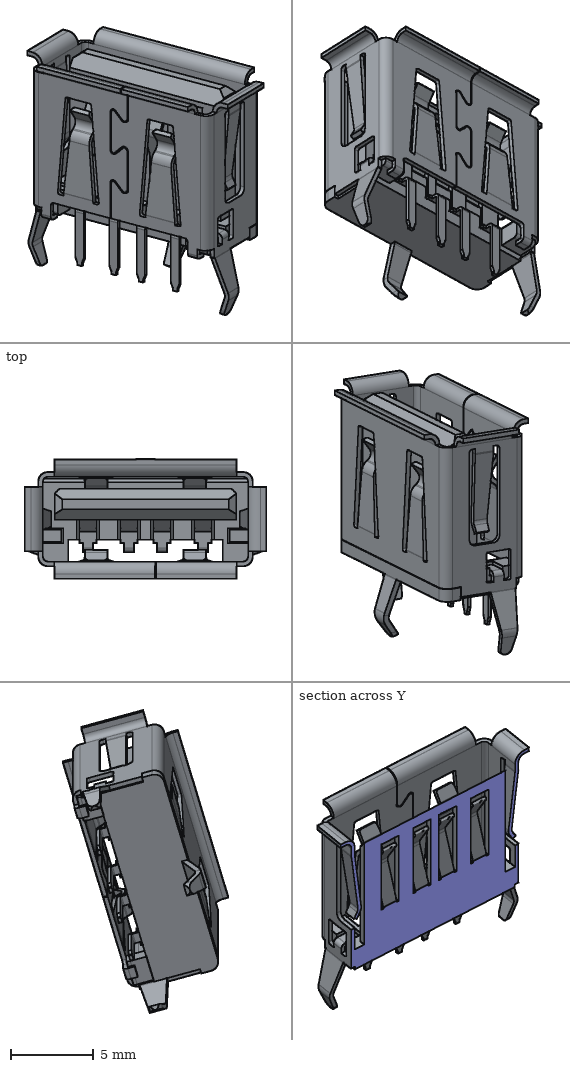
import cadquery as cq
import math



OVERALL_WIDTH = 14.68
SHELL_WIDTH = 13.05
SHELL_DEPTH = 5.74
SHELL_TOP = 9.76
SHEET = 0.3
CORNER_R = 0.6
INNER_WIDTH = SHELL_WIDTH - 2 * SHEET
INNER_DEPTH = SHELL_DEPTH - 2 * SHEET
INNER_CORNER_R = CORNER_R - SHEET

CORNER_BOTTOM = 0.84
SIDE_BOTTOM = 0.2
SIDE_FRONT_Y = -2.23
SIDE_REAR_Y = 1.63
FRONT_NOTCH_HALF = 5.0
FRONT_NOTCH_TOP = 1.35
FRONT_NOTCH_R = 0.22
FOOT_OUTER_X = 5.7
FOOT_BOTTOM = 0.1
FOOT_LENGTH = 0.73
TIGHT_BEND_R = 0.31

LIP_TOP = 10.5
LIP_BEND_R = LIP_TOP - SHELL_TOP - SHEET
LONG_LIP_WIDTH = 11.07
SHORT_LIP_WIDTH = 3.92
LONG_LIP_REACH = 0.76
SHORT_LIP_REACH = (OVERALL_WIDTH - SHELL_WIDTH) / 2

SEAM_HALF = 0.62
SEAM_GAP = 0.06
SEAM_R = 0.22
SEAM_MIDDLE_Z = 5.97
SEAM_PITCH = 2.35

SPRING_X = 3.0
SPRING_ROOT_HALF = 1.09
SPRING_TIP_HALF = 0.66
SPRING_WINDOW_Z = (2.03, 8.59)
SPRING_WINDOW_HALF = (1.51, 0.94)
SPRING_WINDOW_R = 0.15
SPRING_TIP_Z = 7.87
SPRING_TIP_R = 0.19
SPRING_ELBOW_HALF = 0.72
SPRING_ELBOW_Z = 5.75
SPRING_ROOT = (0, 2.2)
SPRING_ELBOW = (0.12, 6.1)
SPRING_BULGE = (0.91, 6.66)
SPRING_END = (0.15, 7.69)
SPRING_BEND_R = (0.59, 0.78, 0.48)

SIDE_WINDOW_HALF = 1.05
SIDE_WINDOW_Z = (3.32, 9.44)
SIDE_WINDOW_TOP_R = 0.2
SIDE_WINDOW_BOTTOM_R = 0.44
SIDE_SPRING_ROOT_HALF = 0.65
SIDE_SPRING_TIP_HALF = 0.43
SIDE_SPRING_ROOT_Z = 9.13
SIDE_SPRING_TIP_Z = 3.61
SIDE_SPRING_KNEE = (0.53, 4.61)
SIDE_SPRING_END = (0.2, 4.05)
SIDE_SPRING_BEND_R = (0.59, 0.44)

LATCH_Y = -1.0
LATCH_WINDOW_HALF = 0.85
LATCH_WINDOW_Z = (0.82, 2.76)
LATCH_WINDOW_R = 0.15
LATCH_HALF = 0.37
LATCH_TOP = 1.47
LATCH_LENGTH = 1.41
LATCH_POCKET_HALF = 0.45
LATCH_POCKET_LENGTH = 1.23

CLIP_TIP_Z = -3.8
CLIP_ROOT_R = 0.07
SIDE_CLIP_Y = -1.3
SIDE_CLIP_ROOT_HALF = 0.87
SIDE_CLIP_TIP_HALF = 0.4
SIDE_CLIP_KNEE = (-0.85, -2.29)
SIDE_CLIP_END_INSET = -0.26
SIDE_CLIP_BEND_R = 0.73
REAR_CLIP_THICKNESS = 0.37
REAR_CLIP_ROOT_HALF = 0.7
REAR_CLIP_TAPER_HALF = 0.59
REAR_CLIP_TAPER_Z = -2.2
REAR_CLIP_TIP_HALF = 0.4
REAR_CLIP_KNEE = (-0.9, -2.47)
REAR_CLIP_END_INSET = 0.06
REAR_CLIP_BEND_R = 0.85

FLOOR_TOP = 1.63
FLOOR_BACK_Y = 2.47
FLOOR_FRONT_Y = -1.26
FLOOR_BACK_CHAMFER = 0.23
ARM_INNER_X = 4.68
ARM_EDGE_R = 0.25
FLANGE_FRONT_Y = 1.66
FLANGE_TOP = 0.81
TONGUE_HALF = 5.52
TONGUE_FRONT_Y = -0.05
TONGUE_BACK_Y = 1.85
TONGUE_BACK_CHAMFER = 0.3
TONGUE_FRONT_SHOULDER_Z = 9.15
TONGUE_BACK_SHOULDER_Z = 9.32
TONGUE_SIDE_SHOULDER_Z = 9.65
TONGUE_TOP = 10.04
TONGUE_TOP_HALF = 5.05
TONGUE_TOP_Y = (0.59, 1.2)

OUTER_CONTACT_X = 3.5
INNER_CONTACT_X = 1.0
CONTACT_X = (-OUTER_CONTACT_X, -INNER_CONTACT_X, INNER_CONTACT_X, OUTER_CONTACT_X)
CONTACT_THICKNESS = 0.2
BLADE_WIDTH = 1.04
BLADE_TOP = (0.18, 8.3)
BLADE_BOW = (-0.82, 6.59)
BLADE_BACK_Y = 0.15
BLADE_STRAIGHT_Z = 3.67
BLADE_BEND_R = (0.56, 0.59, 0.07)
BLADE_FRONT_Y = -1.45
PIN_FRONT_Y = -2.01
PIN_WIDTH = 0.62
PIN_TIP_WIDTH = 0.32
PIN_TIP_Z = -2.79
PIN_BEND_R = 0.28
PIN_TAPER_Z = (-2.61, -2.28)
CONTACT_FOOT_TOP = 1.01
GROOVE_HALF = 0.68
GROOVE_BOTTOM = CONTACT_FOOT_TOP - CONTACT_THICKNESS
GROOVE_TOP = 8.81
GROOVE_BACK_Y = 0.38
GROOVE_SHALLOW_BACK_Y = 0.07
GROOVE_STEP_Z = BLADE_STRAIGHT_Z


def block(x_range, y_range, z_range):
    """Box between two limits on each axis."""
    size = [high - low for low, high in (x_range, y_range, z_range)]
    return cq.Workplane("XY").box(*size, centered=False).translate((x_range[0], y_range[0], z_range[0]))


def mirrored_prism(half_outline):
    """Outline given by its +x half as (x, z) points, extruded through a wall both ways along y."""
    outline = half_outline + [(-x, z) for x, z in reversed(half_outline)]
    return cq.Workplane("XZ").polyline(outline).close().extrude(SHELL_DEPTH / 2, both=True)


def unit(start, end):
    """Unit vector from one point towards another."""
    length = math.dist(start, end)
    return ((end[0] - start[0]) / length, (end[1] - start[1]) / length)


def bent_strip(points, bend_radii, width, thickness, side):
    """Sheet strip of constant width in x whose one face follows (y, z) points with rounded bends.

    With side = 1 the material lies towards +y where the path runs up; with -1 where it runs down.
    """
    path = cq.Workplane("YZ").moveTo(*points[0])
    for before, corner, after, radius in zip(points, points[1:], points[2:], bend_radii):
        arriving = unit(before, corner)
        leaving = unit(corner, after)
        turn = math.acos(arriving[0] * leaving[0] + arriving[1] * leaving[1])
        setback = radius * math.tan(turn / 2)
        arc_start = (corner[0] - setback * arriving[0], corner[1] - setback * arriving[1])
        arc_end = (corner[0] + setback * leaving[0], corner[1] + setback * leaving[1])
        inward = unit(arriving, leaving)
        sagitta = radius * (1 / math.cos(turn / 2) - 1)
        arc_middle = (corner[0] + sagitta * inward[0], corner[1] + sagitta * inward[1])
        path = path.lineTo(*arc_start).threePointArc(arc_middle, arc_end)
    path = path.lineTo(*points[-1])
    direction = unit(points[0], points[1])
    section = cq.Plane(origin=(0, *points[0]), xDir=(1, 0, 0), normal=(0, *direction))
    return cq.Workplane(section).center(0, side * thickness / 2).rect(width, thickness).sweep(path)


def on_front(feature):
    return feature.translate((0, -SHELL_DEPTH / 2, 0))


def on_rear(feature):
    return on_front(feature).rotate((0, 0, 0), (0, 0, 1), 180)


def on_left(feature):
    """Left wall: local x runs towards -Y."""
    return feature.translate((0, -SHELL_WIDTH / 2, 0)).rotate((0, 0, 0), (0, 0, 1), -90)


def on_right(feature):
    return on_left(feature).mirror("YZ")


def rounded_box(width, depth, radius, bottom, top):
    """Centred box with rounded vertical edges."""
    box = cq.Workplane("XY").workplane(offset=bottom).rect(width, depth).extrude(top - bottom)
    return box.edges("|Z").fillet(radius)


def shell_walls():
    """Rectangular tube with its lower rim cut to length."""
    tube = rounded_box(SHELL_WIDTH, SHELL_DEPTH, CORNER_R, SIDE_BOTTOM, SHELL_TOP)
    tube = tube.cut(rounded_box(INNER_WIDTH, INNER_DEPTH, INNER_CORNER_R, SIDE_BOTTOM, SHELL_TOP))
    full_width = (-SHELL_WIDTH, SHELL_WIDTH)
    raised = (0, CORNER_BOTTOM)
    tube = tube.cut(block(full_width, (-SHELL_DEPTH, SIDE_FRONT_Y), raised))
    tube = tube.cut(block(full_width, (SIDE_REAR_Y, SHELL_DEPTH), raised))
    notch = block((-FRONT_NOTCH_HALF, FRONT_NOTCH_HALF), (-SHEET, 2 * SHEET), (0, FRONT_NOTCH_TOP))
    return tube.cut(on_front(notch.edges("|Y and >Z").fillet(FRONT_NOTCH_R)))


def feet():
    """Pair of tabs at the ends of the front wall, folded under the housing arms."""
    path = [(0, CORNER_BOTTOM + SHEET), (0, FOOT_BOTTOM), (FOOT_LENGTH, FOOT_BOTTOM)]
    foot = bent_strip(path, [TIGHT_BEND_R], FOOT_OUTER_X - FRONT_NOTCH_HALF, SHEET, -1)
    foot = on_front(foot.translate(((FOOT_OUTER_X + FRONT_NOTCH_HALF) / 2, 0, 0)))
    return foot.union(foot.mirror("YZ"))


def lip(width, reach):
    """Lip curving outward from the top of a wall."""
    underside = LIP_TOP - SHEET
    path = [(0, SHELL_TOP - SHEET), (0, underside), (-reach, underside)]
    return bent_strip(path, [LIP_BEND_R], width, SHEET, 1)


def seam():
    """Narrow dovetailed gap dividing the front wall and its lip."""
    left_edge = -SHELL_WIDTH / 2
    seam_top = LIP_TOP + SHEET
    outline = [(left_edge, FOOT_BOTTOM), (-SEAM_HALF, FOOT_BOTTOM)]
    for row, side in ((-1, -1), (0, 1), (1, -1)):
        slant_z = SEAM_MIDDLE_Z + row * SEAM_PITCH
        outline.append((side * SEAM_HALF, slant_z + SEAM_HALF))
        outline.append((-side * SEAM_HALF, slant_z - SEAM_HALF))
    outline += [(SEAM_HALF, seam_top), (left_edge, seam_top)]
    depth = LONG_LIP_REACH + SHEET
    half = cq.Workplane("XZ", origin=(0, SHEET, 0)).polyline(outline).close().extrude(depth)
    dovetail_corners = cq.selectors.BoxSelector(
        (-2 * SEAM_HALF, -SHELL_DEPTH, FRONT_NOTCH_TOP),
        (2 * SEAM_HALF, SHELL_DEPTH, SHELL_TOP),
    )
    half = half.edges("|Y").edges(dovetail_corners).fillet(SEAM_R)
    grown = half.faces("<Y").wires().toPending().offset2D(SEAM_GAP).extrude(-depth, combine=False)
    return on_front(grown.cut(half).translate((-SEAM_GAP / 2, 0, 0)))


def spring_window():
    low, high = SPRING_WINDOW_Z
    wide, narrow = SPRING_WINDOW_HALF
    window = mirrored_prism([(wide, low), (narrow, high)])
    window = window.edges("|Y").fillet(SPRING_WINDOW_R)
    return window.intersect(block((-wide, wide), (-SHEET, 2 * SHEET), (low, high)))


def spring():
    """Tongue rising from the lower wall, bulging inward and turning back out at its tip."""
    path = [(0, SPRING_WINDOW_Z[0] - SHEET), SPRING_ROOT, SPRING_ELBOW, SPRING_BULGE, SPRING_END]
    strip = bent_strip(path, SPRING_BEND_R, 2 * SPRING_ROOT_HALF, SHEET, 1)
    half_outline = [
        (SPRING_ROOT_HALF, 0),
        (SPRING_ROOT_HALF, SPRING_WINDOW_Z[0]),
        (SPRING_ELBOW_HALF, SPRING_ELBOW_Z),
        (SPRING_TIP_HALF, SPRING_TIP_Z),
    ]
    outline = mirrored_prism(half_outline)
    return strip.intersect(outline.edges("|Y and >Z").fillet(SPRING_TIP_R))


def side_window():
    low, high = SIDE_WINDOW_Z
    window = block((-SIDE_WINDOW_HALF, SIDE_WINDOW_HALF), (-SHEET, 2 * SHEET), (low, high))
    window = window.edges("|Y and >Z").fillet(SIDE_WINDOW_TOP_R)
    return window.edges("|Y and <Z").fillet(SIDE_WINDOW_BOTTOM_R)


def side_spring():
    """Tongue hanging from the upper wall, leaning inward with an outturned end."""
    path = [(0, SIDE_WINDOW_Z[1]), (0, SIDE_SPRING_ROOT_Z), SIDE_SPRING_KNEE, SIDE_SPRING_END]
    strip = bent_strip(path, SIDE_SPRING_BEND_R, 2 * SIDE_SPRING_ROOT_HALF, SHEET, -1)
    half_outline = [
        (SIDE_SPRING_ROOT_HALF, SHELL_TOP),
        (SIDE_SPRING_ROOT_HALF, SIDE_SPRING_ROOT_Z),
        (SIDE_SPRING_TIP_HALF, SIDE_SPRING_TIP_Z),
    ]
    return strip.intersect(mirrored_prism(half_outline))


def latch_window():
    half = LATCH_WINDOW_HALF
    window = block((-half, half), (-SHEET, 2 * SHEET), LATCH_WINDOW_Z)
    window = window.edges("|Y").fillet(LATCH_WINDOW_R)
    return window.translate((-LATCH_Y, 0, 0))


def latch():
    """Tab bent inward through its window and resting in the housing floor."""
    path = [(0, LATCH_WINDOW_Z[0] - LATCH_WINDOW_R), (0, LATCH_TOP), (LATCH_LENGTH, LATCH_TOP)]
    tab = bent_strip(path, [TIGHT_BEND_R], 2 * LATCH_HALF, SHEET, 1)
    return tab.translate((-LATCH_Y, 0, 0))


def clip(path, bend_radius, thickness, half_outline):
    """Tapered strip bent outward and back in, with a round end."""
    root_half = half_outline[0][0]
    tip_half, tip_shoulder = half_outline[-1]
    strip = bent_strip(path, [CLIP_ROOT_R, bend_radius], 2 * root_half, thickness, -1)
    outline = (
        cq.Workplane("XZ")
        .polyline([(-x, z) for x, z in half_outline])
        .threePointArc((0, CLIP_TIP_Z), (tip_half, tip_shoulder))
    )
    for x, z in reversed(half_outline[:-1]):
        outline = outline.lineTo(x, z)
    return strip.intersect(outline.close().extrude(SHELL_DEPTH / 2, both=True))


def side_clip():
    path = [(0, SIDE_BOTTOM + SHEET), (0, SIDE_BOTTOM), SIDE_CLIP_KNEE, (SIDE_CLIP_END_INSET, CLIP_TIP_Z)]
    half_outline = [
        (SIDE_CLIP_ROOT_HALF, SIDE_BOTTOM + SHEET),
        (SIDE_CLIP_ROOT_HALF, SIDE_BOTTOM),
        (SIDE_CLIP_TIP_HALF, CLIP_TIP_Z + SIDE_CLIP_TIP_HALF),
    ]
    strip = clip(path, SIDE_CLIP_BEND_R, SHEET, half_outline)
    return strip.translate((-SIDE_CLIP_Y, 0, 0))


def rear_clip():
    path = [(0, SHEET), (0, 0), REAR_CLIP_KNEE, (REAR_CLIP_END_INSET, CLIP_TIP_Z)]
    half_outline = [
        (REAR_CLIP_ROOT_HALF, SHEET),
        (REAR_CLIP_ROOT_HALF, 0),
        (REAR_CLIP_TAPER_HALF, REAR_CLIP_TAPER_Z),
        (REAR_CLIP_TIP_HALF, CLIP_TIP_Z + REAR_CLIP_TIP_HALF),
    ]
    return clip(path, REAR_CLIP_BEND_R, REAR_CLIP_THICKNESS, half_outline)


def shell():
    body = shell_walls().union(feet())
    for place in (on_front, on_rear):
        body = body.union(place(lip(LONG_LIP_WIDTH, LONG_LIP_REACH)))
        for x in (-SPRING_X, SPRING_X):
            body = body.cut(place(spring_window().translate((x, 0, 0))))
            body = body.union(place(spring().translate((x, 0, 0))))
    for place in (on_left, on_right):
        body = body.union(place(lip(SHORT_LIP_WIDTH, SHORT_LIP_REACH)))
        body = body.cut(place(side_window())).union(place(side_spring()))
        body = body.cut(place(latch_window())).union(place(latch()))
        body = body.union(place(side_clip()))
    return body.cut(seam()).union(on_rear(rear_clip()))


def housing_floor():
    """Floor with two forward arms, filling the lower end of the shell."""
    half_width = INNER_WIDTH / 2
    half_depth = INNER_DEPTH / 2
    body = block((-half_width, half_width), (-half_depth, FLOOR_BACK_Y), (0, FLOOR_TOP))
    body = body.edges(">Z and >Y").chamfer(FLOOR_BACK_CHAMFER)
    foot_top = FOOT_BOTTOM + SHEET
    body = body.cut(block((-half_width, half_width), (-half_depth, FLOOR_FRONT_Y), (0, foot_top)))
    body = body.cut(block((-ARM_INNER_X, ARM_INNER_X), (-half_depth, FLOOR_FRONT_Y), (0, FLOOR_TOP)))
    body = body.edges("<Y").edges("<Z").fillet(ARM_EDGE_R)
    pocket_bottom = LATCH_TOP - SHEET
    pocket = block(
        (half_width - LATCH_POCKET_LENGTH, half_width),
        (LATCH_Y - LATCH_POCKET_HALF, LATCH_Y + LATCH_POCKET_HALF),
        (pocket_bottom, FLOOR_TOP),
    )
    return body.cut(pocket).cut(pocket.mirror("YZ"))


def housing_flange():
    """Rear foot of the housing, flush with the outside of the shell."""
    plate = rounded_box(SHELL_WIDTH, SHELL_DEPTH, CORNER_R, 0, FLANGE_TOP)
    rear = block((-SHELL_WIDTH, SHELL_WIDTH), (FLANGE_FRONT_Y, SHELL_DEPTH), (0, FLANGE_TOP))
    return plate.intersect(rear)


def tongue():
    """Contact carrier with a tapered nose."""
    body = block((-TONGUE_HALF, TONGUE_HALF), (TONGUE_FRONT_Y, TONGUE_BACK_Y), (0, TONGUE_TOP))
    body = body.edges("|Z and >Y").chamfer(TONGUE_BACK_CHAMFER)
    profile = [
        (TONGUE_FRONT_Y, 0),
        (TONGUE_FRONT_Y, TONGUE_FRONT_SHOULDER_Z),
        (TONGUE_TOP_Y[0], TONGUE_TOP),
        (TONGUE_TOP_Y[1], TONGUE_TOP),
        (TONGUE_BACK_Y, TONGUE_BACK_SHOULDER_Z),
        (TONGUE_BACK_Y, 0),
    ]
    profile_prism = cq.Workplane("YZ").polyline(profile).close().extrude(TONGUE_HALF, both=True)
    half_outline = [
        (TONGUE_HALF, 0),
        (TONGUE_HALF, TONGUE_SIDE_SHOULDER_Z),
        (TONGUE_TOP_HALF, TONGUE_TOP),
    ]
    return body.intersect(profile_prism).intersect(mirrored_prism(half_outline))


def housing():
    body = housing_floor().union(housing_flange()).union(tongue())
    for x in CONTACT_X:
        sides = (x - GROOVE_HALF, x + GROOVE_HALF)
        lower = block(sides, (FLOOR_FRONT_Y, GROOVE_SHALLOW_BACK_Y), (GROOVE_BOTTOM, GROOVE_STEP_Z))
        upper = block(sides, (FLOOR_FRONT_Y, GROOVE_BACK_Y), (GROOVE_STEP_Z, GROOVE_TOP))
        body = body.cut(lower).cut(upper)
    return body


def contact():
    """Bowed blade that turns forward along its groove and ends in a narrow board pin."""
    blade_path = [
        BLADE_TOP,
        BLADE_BOW,
        (BLADE_BACK_Y, BLADE_STRAIGHT_Z),
        (BLADE_BACK_Y, CONTACT_FOOT_TOP),
        (BLADE_FRONT_Y, CONTACT_FOOT_TOP),
    ]
    blade = bent_strip(blade_path, BLADE_BEND_R, BLADE_WIDTH, CONTACT_THICKNESS, -1)
    pin_path = [
        (BLADE_FRONT_Y + CONTACT_THICKNESS, CONTACT_FOOT_TOP),
        (PIN_FRONT_Y, CONTACT_FOOT_TOP),
        (PIN_FRONT_Y, PIN_TIP_Z),
    ]
    pin = bent_strip(pin_path, [PIN_BEND_R], PIN_WIDTH, CONTACT_THICKNESS, -1)
    half_outline = [
        (PIN_WIDTH / 2, FLOOR_TOP),
        (PIN_WIDTH / 2, PIN_TAPER_Z[1]),
        (PIN_TIP_WIDTH / 2, PIN_TAPER_Z[0]),
        (PIN_TIP_WIDTH / 2, PIN_TIP_Z),
    ]
    pin = pin.intersect(mirrored_prism(half_outline))
    return blade.union(pin)


result = shell().union(housing())
for contact_x in CONTACT_X:
    result = result.union(contact().translate((contact_x, 0, 0)))